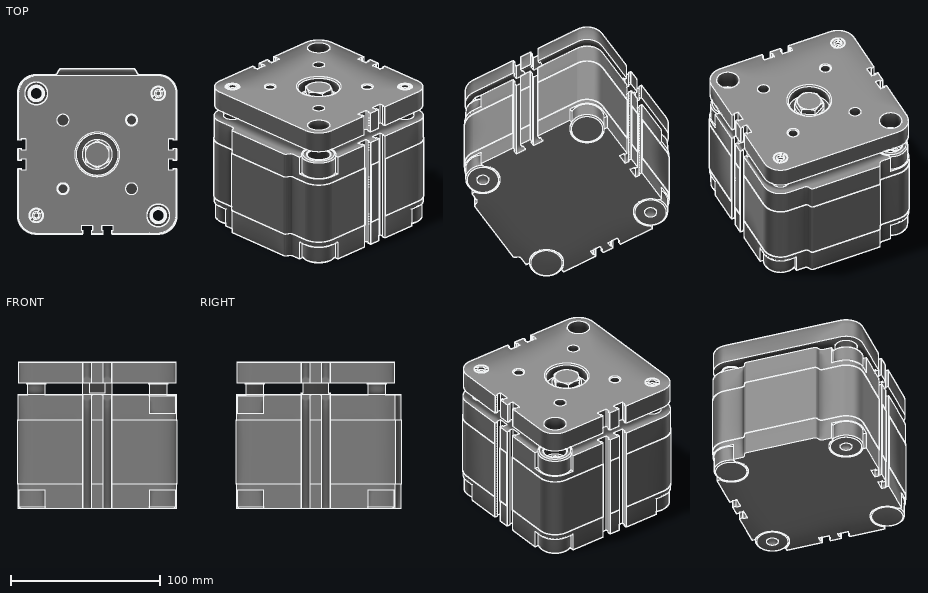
import cadquery as cq
import math

band_bottom = 16.5
band_top = 59.3
housing_height = 76.3
plate_bottom = 84.0
total_height = 98.0

band_half = 53.5
cap_half = 53.2
plate_half = 52.8
corner_axis = 40.8

rib_reach = 57.5
rib_base_half = 27.2
rib_top_half = 25.3
rib_edge_radius = 1.7
rib_root_radius = 2.2
root_search_margin = 0.1

slot_offset = 6.8
slot_neck_width = 5.5
slot_mouth_chamfer = 0.2
slot_head_width = 7.3
slot_floor = 47.7
slot_head_start = 50.8

boss_diameter = 23.0
boss_height = 12.5
boss_chamfer = 1.0
pocket_inner = 35.0
counterbore_diameter = 15.4
counterbore_depth = 8.0
counterbore_chamfer = 0.5
screw_hole_diameter = 8.0
screw_recess_diameter = 9.8
screw_recess_depth = 2.2
screw_recess_chamfer = 0.7

rod_diameter = 20.0
rod_flat_width = 17.1
rod_flat_bottom = 77.3
rod_top = 92.7
hex_width = 16.0
hex_top = 97.3
hex_turn = 90
hex_chamfer_angle = 30

guide_diameter = 12.0
guide_collar_diameter = 13.0
guide_collar_height = 0.4
guide_groove_outer = 9.8
guide_groove_inner = 8.5
drive_slot_width = 2.1
drive_slot_depth = 2.2
drive_slot_angle = 45
socket_floor_diameter = 3.3
socket_diameter = 5.2

opening_diameter = 28.0
opening_chamfer = 1.0
opening_depth = 8.9
access_hole_diameter = 15.0
fixing_offset = 23.0
fixing_hole_diameter = 8.0
tapped_hole_diameter = 6.7
tapped_hole_chamfer = 0.7

guide_places = [(-corner_axis, -corner_axis), (corner_axis, corner_axis)]
screw_places = [(-corner_axis, corner_axis), (corner_axis, -corner_axis)]


def cylinder(diameter, bottom, top, place=(0, 0)):
    return cq.Workplane("XY", origin=(*place, bottom)).circle(diameter / 2).extrude(top - bottom)


def cone(bottom_diameter, top_diameter, bottom, top, place=(0, 0)):
    solid = cq.Solid.makeCone(
        bottom_diameter / 2, top_diameter / 2, top - bottom, cq.Vector(*place, bottom)
    )
    return cq.Workplane(obj=solid)


def rounded_square(half_width, bottom, top):
    block = cq.Workplane("XY", origin=(0, 0, bottom)).rect(2 * half_width, 2 * half_width)
    return block.extrude(top - bottom).edges("|Z").fillet(half_width - corner_axis)


def ribbed_block(half_width, reach, bottom, top):
    """Rounded square with the trapezoidal port rib blended into its +Y side."""
    outline = [
        (-rib_base_half, 0),
        (-rib_base_half, half_width),
        (-rib_top_half, reach),
        (rib_top_half, reach),
        (rib_base_half, half_width),
        (rib_base_half, 0),
    ]
    rib = cq.Workplane("XY", origin=(0, 0, bottom)).polyline(outline).close().extrude(top - bottom)
    rib = rib.faces(">Y").edges("|Z").fillet(rib_edge_radius)
    block = rounded_square(half_width, bottom, top).union(rib)
    root_search = cq.selectors.BoxSelector(
        (-rib_base_half - root_search_margin, half_width - root_search_margin, bottom),
        (rib_base_half + root_search_margin, half_width + root_search_margin, top),
    )
    return block.edges("|Z").edges(root_search).fillet(rib_root_radius)


def t_slots(side_half):
    """Cutter for all six T-slots, their mouths chamfered where they reach the sides."""
    neck_half = slot_neck_width / 2
    head_half = slot_head_width / 2
    mouth_half = neck_half + slot_mouth_chamfer
    chamfer_start = side_half - slot_mouth_chamfer
    outline = [
        (-mouth_half, -band_half),
        (-mouth_half, -side_half),
        (-neck_half, -chamfer_start),
        (-neck_half, -slot_head_start),
        (-head_half, -slot_head_start),
        (-head_half, -slot_floor),
        (head_half, -slot_floor),
        (head_half, -slot_head_start),
        (neck_half, -slot_head_start),
        (neck_half, -chamfer_start),
        (mouth_half, -side_half),
        (mouth_half, -band_half),
    ]
    slot = cq.Workplane("XY").polyline(outline).close().extrude(total_height)
    slots = cq.Workplane("XY")
    for angle in (0, 90, -90):
        for offset in (-slot_offset, slot_offset):
            slots = slots.add(slot.translate((offset, 0, 0)).rotate((0, 0, 0), (0, 0, 1), angle))
    return slots.combine()


def corner_boss(housing, place, bottom, chamfered_face):
    """Clear a square corner pocket and stand a chamfered round boss in it."""
    x_side = math.copysign(1, place[0])
    y_side = math.copysign(1, place[1])
    pocket_size = band_half - pocket_inner
    pocket_middle = pocket_inner + pocket_size / 2
    pocket = (
        cq.Workplane("XY", origin=(x_side * pocket_middle, y_side * pocket_middle, bottom))
        .rect(pocket_size, pocket_size)
        .extrude(boss_height)
    )
    boss = cylinder(boss_diameter, bottom, bottom + boss_height, place)
    chamfered_boss = boss.faces(chamfered_face).chamfer(boss_chamfer)
    return housing.cut(pocket).cut(boss).union(chamfered_boss)


def chamfered_bore(diameter, chamfer, bottom, top, place=(0, 0)):
    """Cutter for a round hole with a 45 degree chamfer around its upper rim."""
    bore = cylinder(diameter, bottom, top, place)
    return bore.union(cone(diameter, diameter + 2 * chamfer, top - chamfer, top, place))


def screw_hole(place):
    """Cutter for a through hole below a chamfered recess and a deep counterbore."""
    counterbore_floor = housing_height - counterbore_depth
    recess_floor = counterbore_floor - screw_recess_depth
    hole = cylinder(screw_hole_diameter, 0, recess_floor, place)
    recess = chamfered_bore(
        screw_recess_diameter, screw_recess_chamfer, recess_floor, counterbore_floor, place
    )
    counterbore = chamfered_bore(
        counterbore_diameter, counterbore_chamfer, counterbore_floor, housing_height, place
    )
    return hole.union(recess).union(counterbore)


def make_housing():
    cap_reach = rib_reach - (band_half - cap_half)
    caps = ribbed_block(cap_half, cap_reach, 0, housing_height)
    band = ribbed_block(band_half, rib_reach, band_bottom, band_top)
    housing = caps.union(band).cut(t_slots(cap_half))

    for place in guide_places + screw_places:
        housing = corner_boss(housing, place, 0, "<Z")
    for place in screw_places:
        housing = corner_boss(housing, place, housing_height - boss_height, ">Z")
        housing = housing.cut(screw_hole(place))

    housing = housing.cut(cylinder(rod_diameter, band_top, housing_height))
    for place in guide_places:
        housing = housing.cut(cylinder(guide_diameter, band_top, housing_height, place))
    return housing


def make_rod():
    rod = cylinder(rod_diameter, band_top, rod_top)
    flat_core = (
        cq.Workplane("XY", origin=(0, 0, rod_flat_bottom))
        .rect(rod_diameter, rod_flat_width)
        .extrude(plate_bottom - rod_flat_bottom)
    )
    flat_stretch = cylinder(rod_diameter, rod_flat_bottom, plate_bottom)
    rod = rod.cut(flat_stretch.cut(flat_core))

    hex_corner_diameter = hex_width / math.cos(math.pi / 6)
    hexagon = (
        cq.Workplane("XY", origin=(0, 0, rod_top))
        .transformed(rotate=(0, 0, hex_turn))
        .polygon(6, hex_corner_diameter)
        .extrude(hex_top - rod_top)
    )
    cone_slope = math.tan(math.radians(hex_chamfer_angle))
    cone_bottom_diameter = hex_width + 2 * (hex_top - rod_top) / cone_slope
    return rod.union(hexagon.intersect(cone(cone_bottom_diameter, hex_width, rod_top, hex_top)))


def guide_rod(place):
    rod = cylinder(guide_diameter, band_top, plate_bottom, place)
    collar_bottom = plate_bottom - guide_collar_height
    return rod.union(cylinder(guide_collar_diameter, collar_bottom, plate_bottom, place))


def guide_rod_end(place):
    """Cutters for a guide rod end: a V-groove around it, and a slot with a round socket in it."""
    groove_width = (guide_groove_outer - guide_groove_inner) / 2
    groove_middle = guide_groove_outer - groove_width
    groove_bottom = total_height - groove_width / 2
    groove = cone(groove_middle, guide_groove_outer, groove_bottom, total_height, place)
    groove = groove.cut(cone(groove_middle, guide_groove_inner, groove_bottom, total_height, place))

    slot_bottom = total_height - drive_slot_depth
    slot = (
        cq.Workplane("XY", origin=(*place, slot_bottom))
        .transformed(rotate=(0, 0, drive_slot_angle))
        .rect(guide_groove_outer, drive_slot_width)
        .extrude(drive_slot_depth)
        .intersect(cylinder(guide_groove_outer, slot_bottom, total_height, place))
    )
    point_depth = (socket_diameter - socket_floor_diameter) / 2
    socket = cylinder(socket_diameter, slot_bottom, total_height, place)
    point_bottom = slot_bottom - point_depth
    point = cone(socket_floor_diameter, socket_diameter, point_bottom, slot_bottom, place)
    return groove, slot.union(socket).union(point)


def make_plate():
    plate = rounded_square(plate_half, plate_bottom, total_height).cut(t_slots(plate_half))

    opening_floor = total_height - opening_depth
    plate = plate.cut(chamfered_bore(opening_diameter, opening_chamfer, opening_floor, total_height))

    for place in screw_places:
        plate = plate.cut(cylinder(access_hole_diameter, plate_bottom, total_height, place))

    for side in (-1, 1):
        plain_place = (side * fixing_offset, -side * fixing_offset)
        tapped_place = (side * fixing_offset, side * fixing_offset)
        tapped_hole = chamfered_bore(
            tapped_hole_diameter, tapped_hole_chamfer, plate_bottom, total_height, tapped_place
        )
        plate = plate.cut(cylinder(fixing_hole_diameter, plate_bottom, total_height, plain_place))
        plate = plate.cut(tapped_hole)
    return plate


def make_slide():
    """Front plate, piston rod and guide rods, which move as one."""
    slide = make_plate().union(make_rod())
    for place in guide_places:
        slide = slide.union(guide_rod(place))
        for end_cut in guide_rod_end(place):
            slide = slide.cut(end_cut)
    return slide


housing = make_housing()
slide = make_slide()

result = cq.Compound.makeCompound([housing.val(), slide.val()])